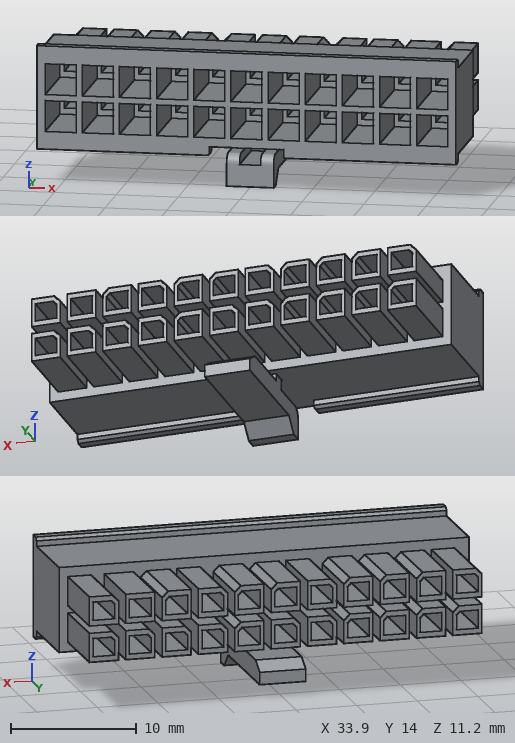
import cadquery as cq


housing_width = 33.85
housing_height = 7.0
housing_depth = 7.65
overall_depth = 14.0
bottom_z = -housing_height / 2

lip_overhang = 0.7
lip_depth = 1.05
lip_chamfer = 0.25
lip_gap_width = 6.0
lip_gap_corner = 0.1

pitch = 3.0
cavity_size = 2.5
back_wall = 1.0
bore_width = 1.8
bore_height = 1.5
bore_chamfer = 0.3
sleeve_size = 2.4
sleeve_chamfer = 0.5

top_row_keys = "LRRRLRRLRNL"
bottom_row_keys = "RRRRLLRLLLL"
column_count = len(top_row_keys)

latch_width = 3.8
latch_bottom_z = -7.0
latch_hook_y = 1.63
latch_tail_y = 13.15
lever_bottom_z = -5.83
tail_top_z = -4.1
tail_bevel_length = 1.22
tail_bevel_drop = 0.7
finger_top_z = -4.4
finger_radius = 0.8
hook_flat = 1.07
stem_front_y = 5.7
stem_back_y = 6.93
stem_fillet = 0.25
latch_slot_width = 1.7


def box(width, depth, height, z=0.0):
    """Box centred on X = 0 and the given z, running from Y = 0 toward +Y."""
    return cq.Workplane("XY").box(width, depth, height, centered=(True, False, True)).translate((0, 0, z))


def make_housing():
    """Block with a lip whose rear edges are chamfered."""
    block = box(housing_width, housing_depth, housing_height)
    lip = box(housing_width, lip_depth, housing_height + 2 * lip_overhang)
    lip = lip.faces(">Y").edges("|X").chamfer(lip_chamfer)
    return block.union(lip)


def make_lip_gap():
    """Gap in the bottom lip that clears the latch, with beveled lower corners."""
    half_width = lip_gap_width / 2
    lip_bottom_z = bottom_z - lip_overhang
    return (
        cq.Workplane("XZ")
        .moveTo(-half_width, bottom_z)
        .lineTo(half_width, bottom_z)
        .lineTo(half_width, lip_bottom_z + lip_gap_corner)
        .lineTo(half_width + lip_gap_corner, lip_bottom_z)
        .lineTo(-half_width - lip_gap_corner, lip_bottom_z)
        .lineTo(-half_width, lip_bottom_z + lip_gap_corner)
        .close()
        .extrude(-lip_depth)
    )


def keyed_prism(width, height, depth, chamfer, key):
    """Rectangular prism along Y with the upper corner named by key beveled."""
    prism = box(width, depth, height)
    if key == "N":
        return prism
    side = "<X" if key == "L" else ">X"
    return prism.faces(side).edges(">Z").chamfer(chamfer)


def make_sleeve(key):
    sleeve_length = overall_depth - housing_depth + back_wall
    sleeve = keyed_prism(sleeve_size, sleeve_size, sleeve_length, sleeve_chamfer, key)
    return sleeve.translate((0, overall_depth - sleeve_length, 0))


def make_contact_hole(key):
    """Square cavity from the mating face, continued by a smaller keyed bore to the sleeve end."""
    cavity = box(cavity_size, housing_depth - back_wall, cavity_size)
    bore = keyed_prism(bore_width, bore_height, overall_depth, bore_chamfer, key)
    return cavity.union(bore)


def make_latch():
    """Rocking lever on a stem, split into two arms by a slot ahead of the stem's rear face."""
    finger_arc_z = finger_top_z - finger_radius
    hook_slope_y = latch_hook_y + hook_flat
    hook_drop = lever_bottom_z - latch_bottom_z
    profile = (
        cq.Workplane("YZ")
        .moveTo(stem_back_y, bottom_z)
        .lineTo(stem_back_y, tail_top_z)
        .lineTo(latch_tail_y - tail_bevel_length, tail_top_z)
        .lineTo(latch_tail_y, tail_top_z - tail_bevel_drop)
        .lineTo(latch_tail_y, lever_bottom_z)
        .lineTo(hook_slope_y + hook_drop, lever_bottom_z)
        .lineTo(hook_slope_y, latch_bottom_z)
        .lineTo(latch_hook_y, latch_bottom_z)
        .lineTo(latch_hook_y, finger_arc_z)
        .radiusArc((latch_hook_y + finger_radius, finger_top_z), finger_radius)
        .lineTo(stem_front_y, finger_top_z)
        .lineTo(stem_front_y, bottom_z - stem_fillet)
        .radiusArc((stem_front_y - stem_fillet, bottom_z), -stem_fillet)
        .close()
    )
    latch = profile.extrude(latch_width / 2, both=True)
    slot_height = bottom_z - finger_arc_z
    slot = box(latch_slot_width, stem_back_y, slot_height, z=bottom_z - slot_height / 2)
    return latch.cut(slot)


def add_contact_position(body, column, row_z, key):
    """Add one sleeve to the body and open its contact hole."""
    column_x = (column - (column_count - 1) / 2) * pitch
    place = (column_x, 0, row_z)
    return body.union(make_sleeve(key).translate(place)).cut(make_contact_hole(key).translate(place))


result = make_housing().cut(make_lip_gap()).union(make_latch())
for row_z, row_keys in ((pitch / 2, top_row_keys), (-pitch / 2, bottom_row_keys)):
    for column, key in enumerate(row_keys):
        result = add_contact_position(result, column, row_z, key)